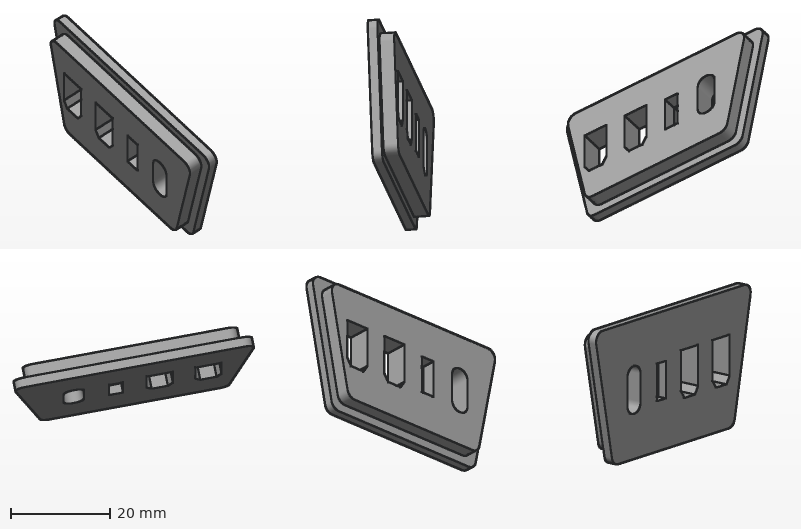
import cadquery as cq

flange_height = 29.0
flange_top_width = 49.9
flange_thickness = 2.0
plug_height = 25.0
plug_top_width = 45.0
plug_thickness = 3.0
side_slope = 0.2
corner_radius = 2.0
total_depth = flange_thickness + plug_thickness

connector_centers = (-15.15, -5.15)
connector_width = 5.4
connector_height = 10.2
corner_cut_width = 1.05
corner_cut_height = 1.6

window_center = 3.8
window_width = 3.15
window_height = 8.15
window_ledge = 0.15

slot_center = 12.5
slot_width = 4.15
slot_height = 10.0
slot_corner_radius = 2.0


def front_plane(depth):
    """Sketch plane facing -Y, at the given depth behind the plug face."""
    return cq.Workplane("XZ", origin=(0, depth, 0))


def rounded_trapezoid(height, top_width, front, thickness):
    half_top = top_width / 2
    half_bottom = half_top - side_slope * height
    outline = [
        (-half_top, height / 2),
        (half_top, height / 2),
        (half_bottom, -height / 2),
        (-half_bottom, -height / 2),
    ]
    plate = front_plane(front).polyline(outline).close().extrude(-thickness)
    return plate.edges("|Y").fillet(corner_radius)


def connector_opening(center):
    half_width = connector_width / 2
    half_height = connector_height / 2
    half_bottom = half_width - corner_cut_width
    cut_start = corner_cut_height - half_height
    outline = [
        (center - half_width, half_height),
        (center + half_width, half_height),
        (center + half_width, cut_start),
        (center + half_bottom, -half_height),
        (center - half_bottom, -half_height),
        (center - half_width, cut_start),
    ]
    return front_plane(0).polyline(outline).close().extrude(-total_depth)


def window_opening():
    plug_part = front_plane(0).center(window_center, 0)
    plug_part = plug_part.rect(window_width, window_height).extrude(-plug_thickness)
    flange_part = front_plane(0).center(window_center, 0)
    flange_part = flange_part.rect(
        window_width - 2 * window_ledge,
        window_height - 2 * window_ledge,
    ).extrude(-total_depth)
    return plug_part.union(flange_part)


def slot_opening():
    sketch = front_plane(0).center(slot_center, 0)
    block = sketch.rect(slot_width, slot_height).extrude(-total_depth)
    return block.edges("|Y").fillet(slot_corner_radius)


plug = rounded_trapezoid(plug_height, plug_top_width, 0, plug_thickness)
flange = rounded_trapezoid(flange_height, flange_top_width, plug_thickness, flange_thickness)
result = plug.union(flange)

for connector_center in connector_centers:
    result = result.cut(connector_opening(connector_center))
result = result.cut(window_opening())
result = result.cut(slot_opening())

result = result.translate((0, -total_depth / 2, 0))